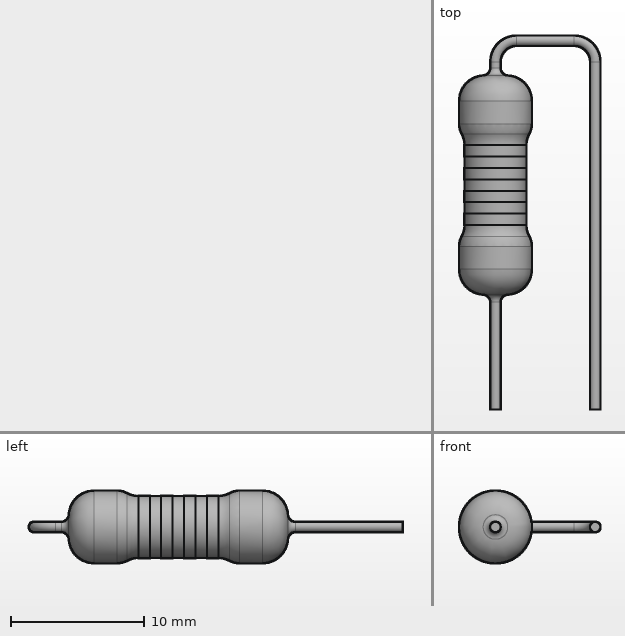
import cadquery as cq
import math

cap_diameter = 5.5
neck_diameter = 4.67
band_diameter = 4.7
band_count = 4
neck_length = 6.0
segment_length = neck_length / (2 * band_count - 1)
cap_length = 2 * segment_length
shoulder_convex_length = 0.75
shoulder_concave_length = 0.85
dome_radius = 1.93

wire_diameter = 0.8
straight_run_length = 0.45
root_fillet_radius = 0.55
bend_radius = 2 * wire_diameter
lead_pitch = 7.5
overall_length = 28.1

cap_radius = cap_diameter / 2
neck_radius = neck_diameter / 2
wire_radius = wire_diameter / 2

neck_end = neck_length / 2
bare_neck_end = neck_end - segment_length
shoulder_middle = neck_end + shoulder_concave_length
cap_start = shoulder_middle + shoulder_convex_length
cap_end = cap_start + cap_length

dome_center_radius = cap_radius - dome_radius
root_center_radius = wire_radius + root_fillet_radius
root_angle = math.asin((root_center_radius - dome_center_radius) / (dome_radius + root_fillet_radius))
root_end = cap_end + (dome_radius + root_fillet_radius) * math.cos(root_angle)
straight_run_end = root_end + straight_run_length
wire_top = straight_run_end + bend_radius
lead_tip = wire_top + wire_radius - overall_length


def arc_point(center, radius, angle):
    """Point (radial, axial) on a circle, with the angle measured from the axial direction."""
    return (center[0] + radius * math.sin(angle), center[1] + radius * math.cos(angle))


def body_end():
    """+Y end of the body, from under the outermost band to the tip of the root fillet."""
    dome_center = (dome_center_radius, cap_end)
    root_center = (root_center_radius, root_end)
    root_touch = arc_point(dome_center, dome_radius, root_angle)
    dome_middle = arc_point(dome_center, dome_radius, (root_angle + math.pi / 2) / 2)
    root_middle = arc_point(root_center, root_fillet_radius, root_angle / 2 - 3 * math.pi / 4)

    shoulder_length = shoulder_convex_length + shoulder_concave_length
    shoulder_step = cap_radius - neck_radius
    shoulder_radius = neck_radius + shoulder_step * shoulder_concave_length / shoulder_length

    return (
        cq.Workplane("XY")
        .moveTo(0, bare_neck_end)
        .lineTo(neck_radius, bare_neck_end)
        .lineTo(neck_radius, neck_end)
        .tangentArcPoint((shoulder_radius, shoulder_middle), relative=False)
        .tangentArcPoint((cap_radius, cap_start), relative=False)
        .lineTo(cap_radius, cap_end)
        .threePointArc(dome_middle, root_touch)
        .threePointArc(root_middle, (wire_radius, root_end))
        .lineTo(0, root_end)
        .close()
        .revolve(360, (0, 0), (0, 1))
    )


def rod(diameter, start, end):
    """Cylinder on the Y axis between two stations."""
    return cq.Workplane("XZ", origin=(0, end, 0)).circle(diameter / 2).extrude(end - start)


def color_bands():
    """Raised bands alternating with bare segments along the neck."""
    bands = cq.Workplane("XY")
    for index in range(band_count):
        start = -neck_end + 2 * index * segment_length
        bands = bands.add(rod(band_diameter, start, start + segment_length))
    return bands.combine()


def bent_lead():
    """Wire that leaves the +Y end, turns twice and runs back beside the body."""
    bend_offset = bend_radius * (1 - math.sqrt(0.5))
    path = (
        cq.Workplane("XY")
        .moveTo(0, root_end)
        .lineTo(0, straight_run_end)
        .threePointArc((bend_offset, wire_top - bend_offset), (bend_radius, wire_top))
        .lineTo(lead_pitch - bend_radius, wire_top)
        .threePointArc((lead_pitch - bend_offset, wire_top - bend_offset), (lead_pitch, straight_run_end))
        .lineTo(lead_pitch, lead_tip)
    )
    return cq.Workplane("XZ", origin=(0, root_end, 0)).circle(wire_radius).sweep(path)


upper_end = body_end()
neck = rod(neck_diameter, -bare_neck_end, bare_neck_end)
body = neck.union(upper_end).union(upper_end.mirror("XZ")).union(color_bands())
straight_lead = rod(wire_diameter, lead_tip, -root_end)
result = body.union(straight_lead).union(bent_lead())